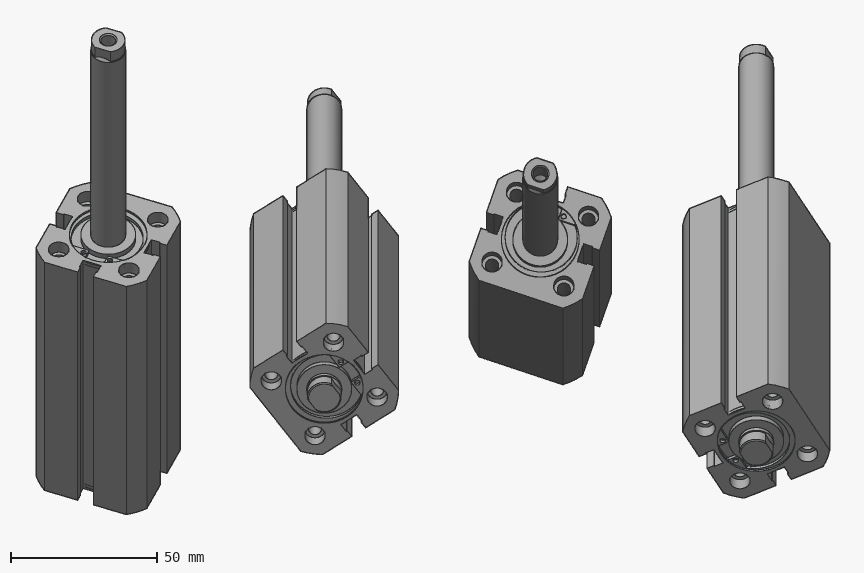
import cadquery as cq
import math


BARREL_WIDTH = 41.0
BARREL_HEIGHT = 112.5
CORNER_RADIUS = 25.5
BORE_RADIUS = 13.3

SLOT_FLOOR = 14.6
SLOT_LIP = 2.7
SLOT_MOUTH_WIDTH = 5.8
SLOT_INNER_WIDTH = 6.6
SLOT_ANGLES = (0, 180, 270)

MOUNT_PITCH = 26.0
MOUNT_HOLE_DIAMETER = 4.5
MOUNT_BORE_DIAMETER = 7.0
MOUNT_BORE_DEPTH = 5.0

GROOVE_RADIUS = 14.5
GROOVE_SETBACK = 0.8
RING_THICKNESS = 1.3
RING_INNER_RADIUS = 12.35
RING_OFFSET = 1.0
RING_GAP = 7.0
EAR_TOP = 8.75
EAR_HALF_SPAN = 11.0
EAR_HOLE_X = 4.9
EAR_HOLE_Y = 10.4
EAR_HOLE_DIAMETER = 1.8

COVER_LENGTH = 15.0
BOSS_RADIUS = 9.4
BOSS_HEIGHT = GROOVE_SETBACK + RING_THICKNESS

ROD_RADIUS = 6.0
ROD_TOP_REACH = 96.0
ROD_BOTTOM_REACH = 6.5
ROD_END_LENGTH = 5.0
ROD_END_RADIUS = 5.75
ROD_FLATS = 10.0
ROD_BOTTOM_CHAMFER = 0.4
THREAD_RADIUS = 2.5
THREAD_DEPTH = 12.0
THREAD_CHAMFER = 0.5
DRILL_POINT_ANGLE = math.radians(118)


def at_both_ends(shape):
    """Return a shape made for the top end, and its mirror image at the bottom end."""
    mirrored = shape.mirror("XY", (0, 0, BARREL_HEIGHT / 2))
    return [shape, mirrored]


def make_slot(angle):
    """A sensor slot along the whole barrel, wider behind its mouth."""
    side = BARREL_WIDTH / 2
    inner_depth = side - SLOT_LIP - SLOT_FLOOR
    mouth_depth = side - SLOT_FLOOR
    only_y_centered = (False, True, False)
    inner = cq.Workplane().box(inner_depth, SLOT_INNER_WIDTH, BARREL_HEIGHT, centered=only_y_centered)
    mouth = cq.Workplane().box(mouth_depth, SLOT_MOUTH_WIDTH, BARREL_HEIGHT, centered=only_y_centered)
    slot = inner.union(mouth).translate((SLOT_FLOOR, 0, 0))
    return slot.rotate((0, 0, 0), (0, 0, 1), angle)


def make_barrel():
    square = cq.Workplane().rect(BARREL_WIDTH, BARREL_WIDTH).extrude(BARREL_HEIGHT)
    barrel = square.intersect(cq.Workplane().circle(CORNER_RADIUS).extrude(BARREL_HEIGHT))
    barrel = barrel.cut(cq.Workplane().circle(BORE_RADIUS).extrude(BARREL_HEIGHT))

    for angle in SLOT_ANGLES:
        barrel = barrel.cut(make_slot(angle))

    mounts = cq.Workplane().rect(MOUNT_PITCH, MOUNT_PITCH, forConstruction=True).vertices()
    barrel = barrel.cut(mounts.circle(MOUNT_HOLE_DIAMETER / 2).extrude(BARREL_HEIGHT))

    mount_bores = (
        cq.Workplane(origin=(0, 0, BARREL_HEIGHT))
        .rect(MOUNT_PITCH, MOUNT_PITCH, forConstruction=True)
        .vertices()
        .circle(MOUNT_BORE_DIAMETER / 2)
        .extrude(-MOUNT_BORE_DEPTH)
    )
    groove = (
        cq.Workplane(origin=(0, 0, BARREL_HEIGHT - GROOVE_SETBACK))
        .circle(GROOVE_RADIUS)
        .extrude(-RING_THICKNESS)
    )
    for cutter in at_both_ends(mount_bores) + at_both_ends(groove):
        barrel = barrel.cut(cutter)
    return barrel


def make_retaining_ring():
    """The top ring, filling its groove, with its gap and its two eared ends toward -Y."""
    plane = cq.Workplane(origin=(0, 0, BARREL_HEIGHT - GROOVE_SETBACK))
    disc = plane.circle(GROOVE_RADIUS).extrude(-RING_THICKNESS)
    opening = plane.center(0, -RING_OFFSET).circle(RING_INNER_RADIUS).extrude(-RING_THICKNESS)
    ear_depth = GROOVE_RADIUS - EAR_TOP
    ears = (
        plane.center(0, -EAR_TOP - ear_depth / 2)
        .rect(2 * EAR_HALF_SPAN, ear_depth)
        .extrude(-RING_THICKNESS)
    )
    gap = (
        plane.center(0, -GROOVE_RADIUS / 2)
        .rect(RING_GAP, GROOVE_RADIUS)
        .extrude(-RING_THICKNESS)
    )
    holes = (
        plane.pushPoints([(-EAR_HOLE_X, -EAR_HOLE_Y), (EAR_HOLE_X, -EAR_HOLE_Y)])
        .circle(EAR_HOLE_DIAMETER / 2)
        .extrude(-RING_THICKNESS)
    )
    return disc.cut(opening.cut(ears)).cut(gap).cut(holes)


def make_cover():
    """The top cover: a disc behind the ring, with a boss through the ring and the rod bore."""
    top = BARREL_HEIGHT - BOSS_HEIGHT
    return (
        cq.Workplane(origin=(0, 0, top))
        .circle(BORE_RADIUS)
        .extrude(-COVER_LENGTH)
        .union(cq.Workplane(origin=(0, 0, top)).circle(BOSS_RADIUS).extrude(BOSS_HEIGHT))
        .cut(cq.Workplane().circle(ROD_RADIUS).extrude(BARREL_HEIGHT))
    )


def make_rod_end():
    """A turned and flatted end standing on Z = 0, with a 45 degree cone at the foot of the flats."""
    turned = cq.Workplane().circle(ROD_END_RADIUS).extrude(ROD_END_LENGTH)
    flats = cq.Workplane().rect(2 * ROD_RADIUS, ROD_FLATS).extrude(ROD_END_LENGTH)
    cone_height = ROD_RADIUS - ROD_FLATS / 2
    cone = cq.Workplane(cq.Solid.makeCone(ROD_RADIUS, ROD_FLATS / 2, cone_height))
    return turned.intersect(flats).union(cone)


def make_tip_cone():
    """A 45 degree cone that opens upward from the bottom tip and bevels its rim."""
    tip_radius = ROD_END_RADIUS - ROD_BOTTOM_CHAMFER
    height = ROD_END_LENGTH
    tip = cq.Vector(0, 0, -ROD_BOTTOM_REACH)
    return cq.Workplane(cq.Solid.makeCone(tip_radius, tip_radius + height, height, pnt=tip))


def make_thread_hole(top):
    """A chamfered blind hole with a drill point, going down from the given height."""
    point_length = THREAD_RADIUS / math.tan(DRILL_POINT_ANGLE / 2)
    mouth_radius = THREAD_RADIUS + THREAD_CHAMFER
    return (
        cq.Workplane("XZ")
        .moveTo(0, top)
        .lineTo(mouth_radius, top)
        .lineTo(THREAD_RADIUS, top - THREAD_CHAMFER)
        .lineTo(THREAD_RADIUS, top - THREAD_DEPTH)
        .lineTo(0, top - THREAD_DEPTH - point_length)
        .close()
        .revolve(360)
    )


def make_rod():
    top = BARREL_HEIGHT + ROD_TOP_REACH
    top_shoulder = top - ROD_END_LENGTH
    bottom_shoulder = ROD_END_LENGTH - ROD_BOTTOM_REACH
    shaft = (
        cq.Workplane(origin=(0, 0, bottom_shoulder))
        .circle(ROD_RADIUS)
        .extrude(top_shoulder - bottom_shoulder)
    )
    top_end = make_rod_end().translate((0, 0, top_shoulder))
    bottom_end = make_rod_end().mirror("XY").translate((0, 0, bottom_shoulder)).intersect(make_tip_cone())
    return shaft.union(top_end).union(bottom_end).cut(make_thread_hole(top))


barrel = make_barrel()
rod = make_rod()
covers = at_both_ends(make_cover())
retaining_rings = at_both_ends(make_retaining_ring())

result = cq.Compound.makeCompound(
    [
        barrel.val(),
        rod.val(),
        *[cover.val() for cover in covers],
        *[ring.val() for ring in retaining_rings],
    ]
)